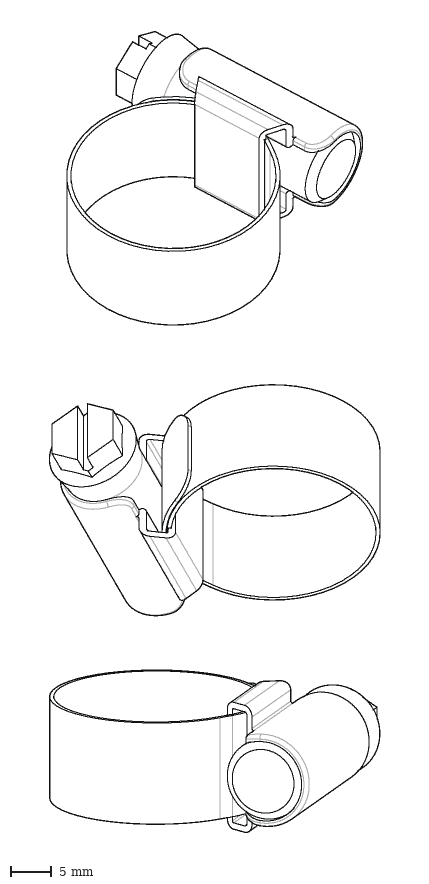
import cadquery as cq
import math


band_radius = 13.05
band_thickness = 0.5
band_width = 12.8
layer_gap = 0.07
tail_radius = band_radius + layer_gap + band_thickness
rise_angle = 56.0
inner_end_angle = 100.0
tail_end_angle = 150.0
tail_corner_radius = 2.95

axis_y = 17.9
shank_radius = 5.0
shank_half_length = 11.45
tip_chamfer = 1.0
collar_radius = 5.65
collar_x = -15.4
collar_face_x = -15.85
flare_sag = 0.05
hex_across_flats = 7.97
hex_end_x = -19.05
slot_width = 1.25
slot_depth = 2.05

cover_radius = 5.8
sheet = cover_radius - shank_radius
cover_edge_y = axis_y - 2.98
lip_y = cover_edge_y - sheet
cover_corner_radius = 2.57
cover_edge_fillet = 0.5
loop_bottom_y = 10.95
loop_half_width = 8.0
loop_top_bend = 1.2
loop_bottom_bend = 1.03
loop_bottom_half_length = 4.92
loop_flank_angle = 29.0
joint_bend = 0.22
lip_round = 0.35


def at(radius, angle):
    """Point at a polar position about the band axis, with the angle in degrees."""
    turn = math.radians(angle)
    return (radius * math.cos(turn), radius * math.sin(turn))


def x_cylinder(radius):
    """Solid cylinder on the screw axis, as long as the shank."""
    return (
        cq.Workplane("YZ", origin=(-shank_half_length, axis_y, 0))
        .circle(radius)
        .extrude(2 * shank_half_length)
    )


def make_band():
    """One strip: a ring that leaves on a tangent, bends over its own start and ends in a tail."""
    rise_sine = math.sin(math.radians(rise_angle))
    bend_radius = (band_radius - tail_radius * rise_sine) / (1 - rise_sine)
    bend_center_y = tail_radius - bend_radius

    def on_bend(inset, angle):
        x, y = at(bend_radius - inset, angle)
        return (x, y + bend_center_y)

    bend_middle = (rise_angle + 90) / 2
    tail_middle = (90 + tail_end_angle) / 2
    ring_middle = (inner_end_angle + 360 + rise_angle) / 2
    ring_inside = band_radius - band_thickness
    tail_inside = tail_radius - band_thickness
    band = (
        cq.Workplane("XY", origin=(0, 0, -band_width / 2))
        .moveTo(*at(band_radius, inner_end_angle))
        .threePointArc(at(band_radius, ring_middle), at(band_radius, rise_angle))
        .lineTo(*on_bend(0, rise_angle))
        .threePointArc(on_bend(0, bend_middle), (0, tail_radius))
        .threePointArc(at(tail_radius, tail_middle), at(tail_radius, tail_end_angle))
        .lineTo(*at(tail_inside, tail_end_angle))
        .threePointArc(at(tail_inside, tail_middle), (0, tail_inside))
        .threePointArc(on_bend(band_thickness, bend_middle), on_bend(band_thickness, rise_angle))
        .lineTo(*at(ring_inside, rise_angle))
        .threePointArc(at(ring_inside, ring_middle), at(ring_inside, inner_end_angle))
        .close()
        .extrude(band_width)
    )
    end_x, end_y = at(tail_radius - band_thickness / 2, tail_end_angle)
    for side in (-1, 1):
        corner = cq.selectors.NearestToPointSelector((end_x, end_y, side * band_width / 2))
        band = band.edges(corner).fillet(tail_corner_radius)
    return band


def make_screw():
    """Slotted hexagon head, flared collar and plain shank, relieved where the band runs past."""
    face_radius = hex_across_flats / 2
    flare_middle = (
        (collar_x - shank_half_length) / 2,
        (collar_radius + shank_radius) / 2 - flare_sag,
    )
    body = (
        cq.Workplane("XY")
        .moveTo(collar_face_x, 0)
        .lineTo(collar_face_x, face_radius)
        .lineTo(collar_x, collar_radius)
        .threePointArc(flare_middle, (-shank_half_length, shank_radius))
        .lineTo(shank_half_length - tip_chamfer, shank_radius)
        .lineTo(shank_half_length, shank_radius - tip_chamfer)
        .lineTo(shank_half_length, 0)
        .close()
        .revolve(360, (0, 0, 0), (1, 0, 0))
        .translate((0, axis_y, 0))
    )
    hexagon = (
        cq.Workplane("YZ", origin=(hex_end_x, axis_y, 0))
        .transformed(rotate=(0, 0, 90))
        .polygon(6, hex_across_flats / math.cos(math.pi / 6))
        .extrude(collar_x - hex_end_x)
    )
    slot = cq.Workplane("XY").box(2 * slot_depth, slot_width, 2 * collar_radius)
    slot = slot.translate((hex_end_x, axis_y, 0))
    relief = cq.Workplane("XY").circle(tail_radius).extrude(band_width / 2, both=True)
    return body.union(hexagon).cut(slot).cut(relief)


def make_cover():
    """Outside of the sheet over the screw, with rounded lower corners and a softened edge."""
    cover_height = axis_y + cover_radius - cover_edge_y
    outline = (
        cq.Workplane("XY")
        .box(2 * shank_half_length, cover_height, 2 * cover_radius)
        .translate((0, cover_edge_y + cover_height / 2, 0))
        .edges("|Z and <Y")
        .fillet(cover_corner_radius)
    )
    solid = x_cylinder(cover_radius).intersect(outline)
    return solid.faces("<X or >X or <Y").edges().fillet(cover_edge_fillet)


def make_loop():
    """Closed loop of sheet under the cover, through which the band passes."""
    length = 2 * shank_half_length
    loop_height = cover_edge_y - loop_bottom_y

    def bent_block(inset):
        return (
            cq.Workplane("XY")
            .box(length, loop_height - 2 * inset, 2 * (loop_half_width - inset))
            .edges("|X and >Y")
            .fillet(loop_top_bend - inset)
            .edges("|X and <Y")
            .fillet(loop_bottom_bend - inset)
            .translate((0, loop_bottom_y + loop_height / 2, 0))
        )

    bend_y = cover_edge_y + joint_bend
    bend_z = math.sqrt((cover_radius + joint_bend) ** 2 - (axis_y - bend_y) ** 2)
    joint_top_y = axis_y - (axis_y - bend_y) * cover_radius / (cover_radius + joint_bend)
    joint_height = joint_top_y - lip_y
    joint = cq.Workplane("XY").box(length, joint_height, 2 * bend_z)
    joint = joint.translate((0, lip_y + joint_height / 2, 0))
    bends = (
        cq.Workplane("YZ", origin=(-length / 2, bend_y, 0))
        .pushPoints([(0, -bend_z), (0, bend_z)])
        .circle(joint_bend)
        .extrude(length)
    )
    loop = bent_block(0).cut(bent_block(sheet)).union(joint.cut(bends))

    flank_height = joint_top_y - loop_bottom_y
    top_half_length = loop_bottom_half_length + flank_height * math.tan(math.radians(loop_flank_angle))
    flanks = (
        cq.Workplane("XY")
        .moveTo(-loop_bottom_half_length, loop_bottom_y)
        .lineTo(loop_bottom_half_length, loop_bottom_y)
        .lineTo(top_half_length, joint_top_y)
        .lineTo(-top_half_length, joint_top_y)
        .close()
        .extrude(loop_half_width, both=True)
    )
    return loop.intersect(flanks)


def make_housing(passing_band):
    """Cover and loop as one bent sheet, bored for the screw and notched where the band crosses it."""
    housing = make_cover().union(make_loop()).cut(x_cylinder(shank_radius))
    lip_z = math.sqrt(shank_radius**2 - (axis_y - lip_y) ** 2)
    for side in (-1, 1):
        lip = cq.selectors.NearestToPointSelector((0, lip_y, side * lip_z))
        housing = housing.edges(lip).fillet(lip_round)
    return housing.cut(passing_band)


band = make_band()
screw = make_screw()
housing = make_housing(band)

result = cq.Compound.makeCompound([band.solids().val(), screw.solids().val(), housing.solids().val()])